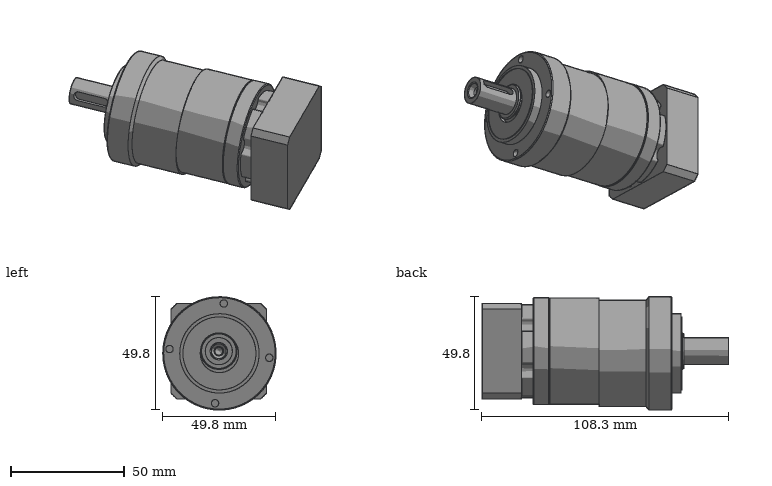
import cadquery as cq
import math

DRIVE_Y = 0.27
DRIVE_Z = 1.0

COLLAR_X = 19.7
COVER_X = 20.6
PILOT_X = 20.9
COVER_SEAT_X = 22.7
FLANGE_X = 24.9
GEAR_X = 56.9
ADAPTER_X = 78.6
RIBBED_X = 86.0
BLOCK_X = 91.1
END_X = 108.3

SHAFT_RADIUS = 6.0
KEYWAY_X = 2.1
KEYWAY_LENGTH = 16.0
KEYWAY_WIDTH = 4.0
KEYWAY_DEPTH = 2.5
KEYWAY_TILT = 22.5
CENTER_MOUTH_RADIUS = 3.8
CENTER_CONE_RADIUS = 3.2
CENTER_NECK_RADIUS = 2.1
CENTER_BORE_RADIUS = 1.7
CENTER_NECK_LENGTH = 1.1
CENTER_DEPTH = 10.8
STEEP_CONE_HALF_ANGLE = math.radians(30)
FLAT_CONE_HALF_ANGLE = math.radians(60)

COLLAR_RADIUS = 8.0
COLLAR_CONE_DROP = 0.4
COLLAR_CONE_LENGTH = 0.6

COVER_RADIUS = 16.0
COVER_HOLE_RADIUS = 8.5

PILOT_RADIUS = 17.4
FLANGE_RADIUS = 24.9
FLANGE_RIM_LENGTH = 10.1
FLANGE_EDGE = 0.4
FLANGE_TAPER_LENGTH = 1.3
BODY_RADIUS = 23.4
BOLT_HOLE_RADIUS = 1.6
BOLT_CIRCLE_RADIUS = 22.0
BOLT_COUNT = 4
BOLT_START_ANGLE = 5

GEAR_RADIUS = 23.4
GEAR_EDGE = 0.1
ADAPTER_RADIUS = 23.5
ADAPTER_EDGE = 0.4
RIBBED_RADIUS = 20.6
CHANNEL_COUNT = 6
CHANNEL_START_ANGLE = 25
CHANNEL_RADIUS = 3.1
CHANNEL_LIP_RADIUS = 1.0
RIB_EDGE = 0.2
BLOCK_SIDE = 42.0
BLOCK_CHAMFER = 2.6


def section(x, drive=False):
    """Workplane across the gearbox at station x; local x is +Y and local y is +Z."""
    origin = (x, DRIVE_Y, DRIVE_Z) if drive else (x, 0, 0)
    return cq.Workplane("YZ", origin=origin)


def disc(x_start, x_end, radius, drive=False):
    return section(x_start, drive).circle(radius).extrude(x_end - x_start)


def turned(points):
    """Solid of revolution about the drive axis from (x, radius) points."""
    axis_frame = cq.Workplane("XY", origin=(0, DRIVE_Y, DRIVE_Z))
    return axis_frame.polyline(points).close().revolve(360, (0, 0, 0), (1, 0, 0))


def center_hole():
    cone_x = (CENTER_MOUTH_RADIUS - CENTER_CONE_RADIUS) / math.tan(FLAT_CONE_HALF_ANGLE)
    neck_x = cone_x + (CENTER_CONE_RADIUS - CENTER_NECK_RADIUS) / math.tan(STEEP_CONE_HALF_ANGLE)
    bore_x = neck_x + CENTER_NECK_LENGTH
    tip_x = CENTER_DEPTH + CENTER_BORE_RADIUS / math.tan(FLAT_CONE_HALF_ANGLE)
    return turned([
        (0, 0),
        (0, CENTER_MOUTH_RADIUS),
        (cone_x, CENTER_CONE_RADIUS),
        (neck_x, CENTER_NECK_RADIUS),
        (bore_x, CENTER_NECK_RADIUS),
        (bore_x, CENTER_BORE_RADIUS),
        (CENTER_DEPTH, CENTER_BORE_RADIUS),
        (tip_x, 0),
    ])


def keyway():
    floor_y = DRIVE_Y - (SHAFT_RADIUS - KEYWAY_DEPTH)
    slot = (
        cq.Workplane("XZ", origin=(KEYWAY_X + KEYWAY_LENGTH / 2, floor_y, DRIVE_Z))
        .slot2D(KEYWAY_LENGTH, KEYWAY_WIDTH)
        .extrude(SHAFT_RADIUS)
    )
    return slot.rotate((0, DRIVE_Y, DRIVE_Z), (1, DRIVE_Y, DRIVE_Z), -KEYWAY_TILT)


def make_shaft():
    return disc(0, COVER_SEAT_X, SHAFT_RADIUS, drive=True).cut(center_hole()).cut(keyway())


def make_collar():
    return turned([
        (COLLAR_X, SHAFT_RADIUS),
        (COLLAR_X, COLLAR_RADIUS - COLLAR_CONE_DROP),
        (COLLAR_X + COLLAR_CONE_LENGTH, COLLAR_RADIUS),
        (COVER_X, COLLAR_RADIUS),
        (COVER_X, SHAFT_RADIUS),
    ])


def make_cover():
    ring = section(COVER_X).circle(COVER_RADIUS).circle(COVER_HOLE_RADIUS)
    return ring.extrude(COVER_SEAT_X - COVER_X)


def make_housing():
    rim_end_x = FLANGE_X + FLANGE_RIM_LENGTH
    taper = (
        section(rim_end_x)
        .circle(FLANGE_RADIUS)
        .workplane(offset=FLANGE_TAPER_LENGTH)
        .circle(BODY_RADIUS)
        .loft()
    )
    flange = disc(FLANGE_X, rim_end_x, FLANGE_RADIUS).faces("<X").chamfer(FLANGE_EDGE)
    bolt_holes = (
        section(FLANGE_X)
        .polarArray(BOLT_CIRCLE_RADIUS, BOLT_START_ANGLE, 360, BOLT_COUNT)
        .circle(BOLT_HOLE_RADIUS)
        .extrude(FLANGE_RIM_LENGTH)
    )
    return (
        disc(PILOT_X, FLANGE_X, PILOT_RADIUS)
        .union(flange)
        .union(taper)
        .union(disc(rim_end_x, GEAR_X, BODY_RADIUS))
        .cut(disc(PILOT_X, COVER_SEAT_X, COVER_RADIUS))
        .cut(bolt_holes)
    )


def make_ring_gear():
    return disc(GEAR_X, ADAPTER_X, GEAR_RADIUS, drive=True).faces(">X").chamfer(GEAR_EDGE)


def channel_cutters():
    """Round channels centered on the spigot rim, their lips flared by tangent arcs."""
    lip_reach = RIBBED_RADIUS - CHANNEL_LIP_RADIUS
    lip_spread = CHANNEL_RADIUS + CHANNEL_LIP_RADIUS
    lip_angle = math.acos(
        (lip_reach**2 + RIBBED_RADIUS**2 - lip_spread**2) / (2 * lip_reach * RIBBED_RADIUS)
    )
    rim_center = cq.Vector(RIBBED_RADIUS, 0)
    lip_center = cq.Vector(lip_reach * math.cos(lip_angle), lip_reach * math.sin(lip_angle))
    outward = lip_center.normalized()
    inward = (rim_center - lip_center).normalized()
    lip_outer = lip_center + outward * CHANNEL_LIP_RADIUS
    lip_middle = lip_center + (outward + inward).normalized() * CHANNEL_LIP_RADIUS
    lip_inner = lip_center + inward * CHANNEL_LIP_RADIUS
    outside_x = RIBBED_RADIUS + CHANNEL_RADIUS

    def cutter(index):
        angle = 180 - CHANNEL_START_ANGLE + index * 360 / CHANNEL_COUNT
        return (
            section(RIBBED_X, drive=True)
            .transformed(rotate=(0, 0, angle))
            .moveTo(outside_x, lip_outer.y)
            .lineTo(lip_outer.x, lip_outer.y)
            .threePointArc((lip_middle.x, lip_middle.y), (lip_inner.x, lip_inner.y))
            .threePointArc((RIBBED_RADIUS - CHANNEL_RADIUS, 0), (lip_inner.x, -lip_inner.y))
            .threePointArc((lip_middle.x, -lip_middle.y), (lip_outer.x, -lip_outer.y))
            .lineTo(outside_x, -lip_outer.y)
            .close()
            .extrude(BLOCK_X - RIBBED_X)
        )

    return [cutter(index) for index in range(CHANNEL_COUNT)]


def ribbed_spigot():
    spigot = disc(RIBBED_X, BLOCK_X, RIBBED_RADIUS, drive=True).faces(">X").chamfer(RIB_EDGE)
    for cutter in channel_cutters():
        spigot = spigot.cut(cutter)
    return spigot


def make_adapter():
    rim = disc(ADAPTER_X, RIBBED_X, ADAPTER_RADIUS, drive=True).edges("%CIRCLE").chamfer(ADAPTER_EDGE)
    return rim.union(ribbed_spigot())


def make_motor_flange():
    block = section(BLOCK_X, drive=True).rect(BLOCK_SIDE, BLOCK_SIDE).extrude(END_X - BLOCK_X)
    return block.edges("|X").chamfer(BLOCK_CHAMFER)


shaft = make_shaft()
collar = make_collar()
cover = make_cover()
housing = make_housing()
ring_gear = make_ring_gear()
adapter = make_adapter()
motor_flange = make_motor_flange()

result = cq.Compound.makeCompound([
    shaft.val(),
    collar.val(),
    cover.val(),
    housing.val(),
    ring_gear.val(),
    adapter.val(),
    motor_flange.val(),
])